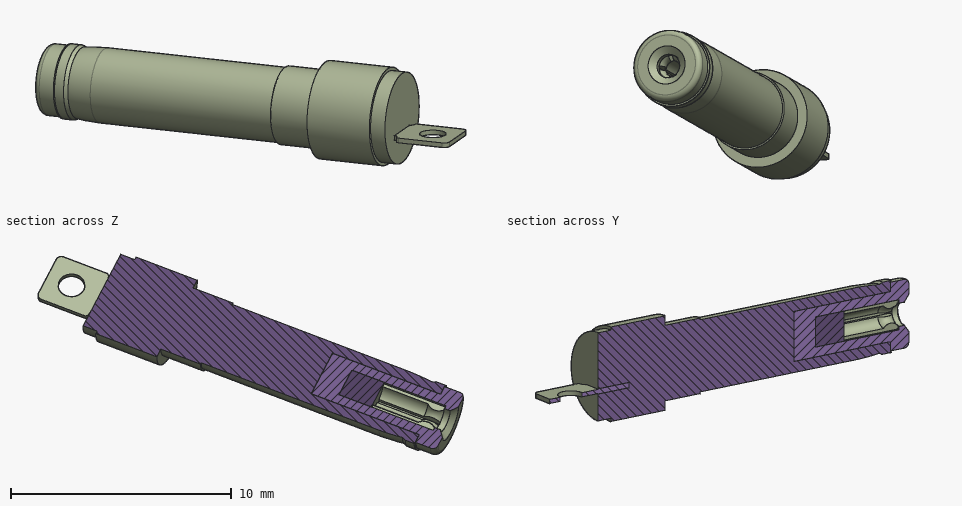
import cadquery as cq
import math

overall_length = 20.0

nose_radius = 1.65
nose_length = 0.98
rim_end = 1.05
nose_corner_radius = 0.25
spigot_radius = 1.2
spigot_end = 6.4
mouth_radius = 0.88
mouth_depth = 0.25
throat_radius = 0.55

barrel_radius = 1.72
collar_end = 1.48
groove_radius = 1.65
groove_start = 1.65
groove_end = 2.78
shank_radius = 1.8
shank_start = 11.6
flange_diameter = 4.5
flange_radius = flange_diameter / 2
flange_start = 13.55
rear_step_radius = 2.1
rear_step_start = 16.6
barrel_end = 17.3

contact_radius = 0.7
contact_front = 0.55
contact_end = 5.2
pinch_radius = 0.35
pinch_length = 0.8
finger_slot_width = 0.18
finger_slot_end = 3.6

tab_half_width = 1.25
tab_start = 17.45
tab_top = -0.58
tab_thickness = 0.22
tab_bottom = tab_top - tab_thickness
tab_corner_radius = 0.25
shoulder_radius = 0.15
neck_fillet_radius = tab_start - barrel_end
tab_hole_radius = 0.6
tab_hole_x = 18.8
neck_half_width = tab_half_width - shoulder_radius - neck_fillet_radius
neck_inner_end = 15.6


def revolve_about_x(profile):
    """Turn a closed profile drawn as (x, radius) into a solid about the X axis."""
    return profile.close().revolve(360, (0, 0, 0), (1, 0, 0))


def make_nose():
    arc_middle = nose_corner_radius * (1 - math.sqrt(0.5))
    profile = (
        cq.Workplane("XY")
        .moveTo(0, mouth_radius)
        .lineTo(0, nose_radius - nose_corner_radius)
        .threePointArc((arc_middle, nose_radius - arc_middle), (nose_corner_radius, nose_radius))
        .lineTo(nose_length, nose_radius)
        .lineTo(nose_length, barrel_radius)
        .lineTo(rim_end, barrel_radius)
        .lineTo(rim_end, spigot_radius)
        .lineTo(spigot_end, spigot_radius)
        .lineTo(spigot_end, 0)
        .lineTo(contact_end, 0)
        .lineTo(contact_end, contact_radius)
        .lineTo(contact_front, contact_radius)
        .lineTo(contact_front, throat_radius)
        .lineTo(mouth_depth, throat_radius)
    )
    return revolve_about_x(profile)


def make_barrel():
    profile = (
        cq.Workplane("XY")
        .moveTo(spigot_end, spigot_radius)
        .lineTo(spigot_end, 0)
        .lineTo(barrel_end, 0)
        .lineTo(barrel_end, rear_step_radius)
        .lineTo(rear_step_start, rear_step_radius)
        .lineTo(rear_step_start, flange_radius)
        .lineTo(flange_start, flange_radius)
        .lineTo(flange_start, shank_radius)
        .lineTo(shank_start, shank_radius)
        .lineTo(shank_start, barrel_radius)
        .lineTo(groove_end, barrel_radius)
        .tangentArcPoint((groove_start, groove_radius), relative=False)
        .lineTo(collar_end, barrel_radius)
        .lineTo(rim_end, barrel_radius)
        .lineTo(rim_end, spigot_radius)
    )
    return revolve_about_x(profile).cut(make_neck_slot())


def make_contact():
    profile = (
        cq.Workplane("XY")
        .moveTo(contact_front, throat_radius)
        .lineTo(contact_front, contact_radius)
        .lineTo(contact_end, contact_radius)
        .lineTo(contact_end, 0)
        .lineTo(finger_slot_end, 0)
        .lineTo(finger_slot_end, throat_radius)
        .lineTo(contact_front + pinch_length, throat_radius)
        .threePointArc((contact_front + pinch_length / 2, pinch_radius), (contact_front, throat_radius))
    )
    contact = revolve_about_x(profile)
    slot_length = finger_slot_end - contact_front
    slot = (
        cq.Workplane("XY")
        .box(slot_length, 2 * contact_radius, finger_slot_width, centered=(False, True, True))
        .translate((contact_front, 0, 0))
    )
    for angle in (0, 90):
        contact = contact.cut(slot.rotate((0, 0, 0), (1, 0, 0), angle))
    return contact


def make_neck_slot():
    """Block that cuts the terminal's slot into the rear of the barrel."""
    return (
        cq.Workplane("XY")
        .box(barrel_end - neck_inner_end, 2 * neck_half_width, tab_thickness, centered=(False, True, False))
        .translate((neck_inner_end, 0, tab_bottom))
    )


def make_terminal():
    plane = cq.Workplane("XY").workplane(offset=tab_bottom)
    blade = (
        plane.moveTo(neck_inner_end, 0)
        .lineTo(neck_inner_end, neck_half_width)
        .lineTo(barrel_end, neck_half_width)
        .tangentArcPoint((tab_start, neck_half_width + neck_fillet_radius), relative=False)
        .tangentArcPoint((tab_start + shoulder_radius, tab_half_width), relative=False)
        .lineTo(overall_length - tab_corner_radius, tab_half_width)
        .tangentArcPoint((overall_length, tab_half_width - tab_corner_radius), relative=False)
        .lineTo(overall_length, 0)
        .mirrorX()
        .extrude(tab_thickness)
    )
    hole = plane.center(tab_hole_x, 0).circle(tab_hole_radius).extrude(tab_thickness)
    return blade.cut(hole)


nose = make_nose()
barrel = make_barrel()
contact = make_contact()
terminal = make_terminal()

result = cq.Compound.makeCompound([nose.val(), barrel.val(), contact.val(), terminal.val()])